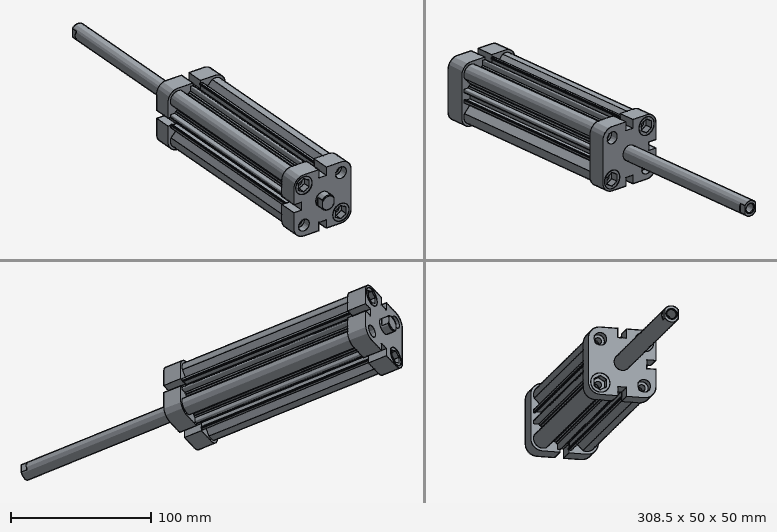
import cadquery as cq
import math


rod_length = 308.5
rod_radius = 6.02
rod_flats = 10.0
front_flat_length = 5.0
rear_flat_length = 5.5
rod_end_chamfer = 0.5
rod_bore_radius = 3.5
rod_bore_depth = 15.5
rod_bore_chamfer = 0.5
drill_point_angle = 118.0

head_size = 50.0
head_corner_radius = 8.5
front_head_x = 132.0
front_head_length = 14.2
rear_head_x = 286.3
rear_head_length = 15.0
notch_width = 6.5
notch_depth = 6.8

screw_offset = 16.2
screw_hole_radius = 2.5
counterbore_radius = 4.5
counterbore_depth = 2.0
collar_recess_radius = 7.0
collar_recess_depth = 0.1
hex_socket_flats = 9.3
hex_socket_depth = 2.0

lobe_radius = 6.8
lobe_crease = 13.5
groove_outer = 8.3
groove_inner = 7.7
groove_step = 0.5
ledge_outer = 6.5
ledge_bottom = 18.35
ledge_top = 19.0
rail_outer = 5.4
rail_top = 22.98
rail_round = 0.77
lip_half_gap = 2.62
lip_chamfer = 0.45
lip_bottom = 21.75
slot_half_width = 3.55
slot_floor = 17.3

barrel_x = front_head_x + front_head_length
barrel_length = rear_head_x - barrel_x
bore_tip_x = rod_bore_depth + rod_bore_radius / math.tan(math.radians(drill_point_angle / 2))
hex_socket_corners = hex_socket_flats / math.cos(math.radians(30))
crease_height = screw_offset + math.sqrt(lobe_radius**2 - (screw_offset - lobe_crease) ** 2)
groove_floor = crease_height - (lobe_crease - groove_outer)


def x_plane(x):
    """Plane across the cylinder axis: local x is +Y, local y is +Z, normal is +X."""
    return cq.Workplane("YZ", origin=(x, 0, 0))


def axial_cylinder(x, length, radius):
    return x_plane(x).circle(radius).extrude(length)


def flat_cutter(x, length):
    """Material to remove on both Y sides to leave two wrench flats."""
    blank = x_plane(x).rect(4 * rod_radius, 4 * rod_radius).extrude(length)
    kept = x_plane(x).rect(rod_flats, 4 * rod_radius).extrude(length)
    return blank.cut(kept)


def rod_bore():
    return (
        cq.Workplane("XY")
        .lineTo(0, rod_bore_radius + rod_bore_chamfer)
        .lineTo(rod_bore_chamfer, rod_bore_radius)
        .lineTo(rod_bore_depth, rod_bore_radius)
        .lineTo(bore_tip_x, 0)
        .close()
        .revolve(360, (0, 0, 0), (1, 0, 0))
    )


def make_rod():
    rod = axial_cylinder(0, rod_length, rod_radius)
    rod = rod.faces(">X").chamfer(rod_end_chamfer)
    rod = rod.cut(flat_cutter(0, front_flat_length))
    rod = rod.cut(flat_cutter(rod_length - rear_flat_length, rear_flat_length))
    return rod.cut(rod_bore())


def cut_notches(head, x, length):
    edge = head_size / 2
    for y, z, width, height in (
        (0, edge, notch_width, 2 * notch_depth),
        (0, -edge, notch_width, 2 * notch_depth),
        (-edge, 0, 2 * notch_depth, notch_width),
    ):
        head = head.cut(x_plane(x).center(y, z).rect(width, height).extrude(length))
    return head


def cut_screw_seats(head, outer_face_x, inward):
    """Counterbores on one diagonal, recessed hexagon sockets on the other."""
    for side_y in (1, -1):
        for side_z in (1, -1):
            seat = x_plane(outer_face_x).center(side_y * screw_offset, side_z * screw_offset)
            if side_y == side_z:
                head = head.cut(seat.circle(counterbore_radius).extrude(inward * counterbore_depth))
            else:
                head = head.cut(seat.circle(collar_recess_radius).extrude(inward * collar_recess_depth))
                hexagon = seat.transformed(rotate=(0, 0, 30)).polygon(6, hex_socket_corners)
                head = head.cut(hexagon.extrude(inward * hex_socket_depth))
    return head


def screw_holes(x, length):
    return (
        x_plane(x)
        .rect(2 * screw_offset, 2 * screw_offset, forConstruction=True)
        .vertices()
        .circle(screw_hole_radius)
        .extrude(length)
    )


def make_head(x, length, outer_face_x, inward):
    """Head starting at x; inward is +1 or -1, the X direction from its outer face to the barrel."""
    head = x_plane(x).rect(head_size, head_size).extrude(length)
    head = head.edges("|X").fillet(head_corner_radius)
    head = cut_notches(head, x, length)
    head = head.cut(axial_cylinder(x, length, rod_radius))
    head = head.cut(screw_holes(x, length))
    return cut_screw_seats(head, outer_face_x, inward)


def make_octant():
    """One eighth of the solid profile, between a slot centre line and a lobe diagonal."""
    diagonal = math.sqrt(0.5)
    lobe_tip = screw_offset + lobe_radius * diagonal
    round_y = rail_outer - rail_round
    round_z = rail_top - rail_round
    return (
        x_plane(barrel_x)
        .lineTo(0, slot_floor)
        .lineTo(slot_half_width, slot_floor)
        .lineTo(slot_half_width, lip_bottom)
        .lineTo(lip_half_gap, lip_bottom)
        .lineTo(lip_half_gap, rail_top - lip_chamfer)
        .lineTo(lip_half_gap + lip_chamfer, rail_top)
        .lineTo(round_y, rail_top)
        .threePointArc(
            (round_y + rail_round * diagonal, round_z + rail_round * diagonal),
            (rail_outer, round_z),
        )
        .lineTo(rail_outer, ledge_top)
        .lineTo(ledge_outer, ledge_bottom)
        .lineTo(ledge_outer, groove_floor + groove_step)
        .lineTo(groove_inner, groove_floor)
        .lineTo(groove_outer, groove_floor)
        .lineTo(lobe_crease, crease_height)
        .threePointArc((screw_offset, screw_offset + lobe_radius), (lobe_tip, lobe_tip))
        .close()
        .extrude(barrel_length)
    )


def make_barrel():
    octant = make_octant()
    side = octant.union(octant.mirror("XZ"))
    barrel = side
    for quarter in range(1, 4):
        barrel = barrel.union(side.rotate((0, 0, 0), (1, 0, 0), 90 * quarter))
    barrel = barrel.cut(axial_cylinder(barrel_x, barrel_length, rod_radius))
    return barrel.cut(screw_holes(barrel_x, barrel_length))


rod = make_rod()
front_head = make_head(front_head_x, front_head_length, front_head_x, 3)
rear_head = make_head(rear_head_x, rear_head_length, rear_head_x + rear_head_length, -3)
barrel = make_barrel()

result = cq.Compound.makeCompound([rod.val(), front_head.val(), rear_head.val(), barrel.val()])